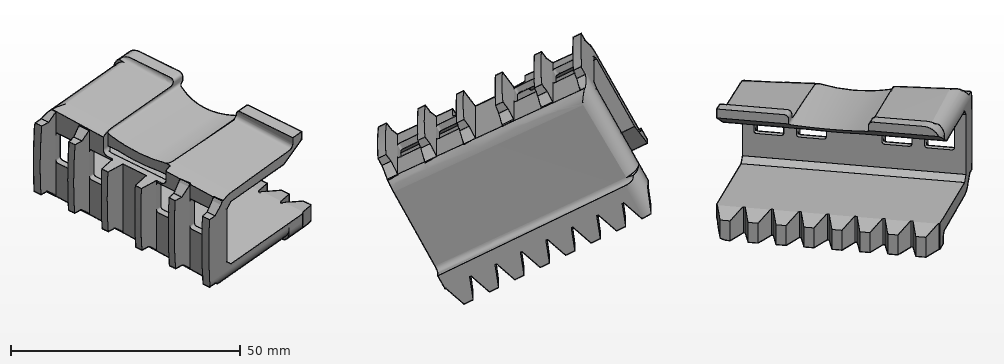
import cadquery as cq
import math


LENGTH = 50.0
DEPTH = 37.1
HEIGHT = 28.45
HALF_LENGTH = LENGTH / 2
MID_HEIGHT = HEIGHT / 2
OVERSHOOT = 2.5
OVERLAP = 0.5

WALL_FRONT = 4.6
WALL_BACK = 6.15
FLOOR = 6.15
CEILING = 22.95
CHANNEL_CHAMFER = 1.35
FOOT_BACK = 31.95

RAIL_FRONT = 28.5
RAIL_FILLET = 1.25
BEND_START = 7.7
SHALLOW_DEPTHS = (0.8, 0.65, 1.6)
DEEP_DEPTHS = (2.75, 3.1, 4.0)
ARM_CORNER_RADIUS = 4.05
ARM_CORNER_CROWN = 27.7
RAIL_CORNER_RADIUS = 3.8

LIP_BACK = 31.55
LIP_EDGE_HEIGHT = 26.35
LIP_UNDERCUT_ANGLE = 29.2

SADDLE_WIDTH = 17.8
SADDLE_BOTTOM = 25.1
SADDLE_RADIUS = 35.0
SADDLE_TILT = 1.0
SADDLE_FILLET = 0.75
LIP_END_RADIUS = 1.05
SADDLE_FRONT = 6.1
BELLY_BOTTOM = 22.55
BELLY_RADIUS = 45.0
NOTCH_FLOOR = 21.45
NOTCH_FILLET = 1.25

RIB_COUNT = 6
RIB_PITCH = 9.55
RIB_DROP = 0.55
RIB_ROOT_WIDTH = 2.9
RIB_TIP_WIDTH = 1.7
RIB_TOP = 24.8
RIB_BEVEL = 1.8
RIB_SHOULDER = 2.5
RIB_SHOULDER_STEP = 0.075
RIB_BEVEL_END_STEP = 0.1
RIB_TIP_SAG = 0.45
WINDOW_WIDTH = RIB_PITCH - RIB_ROOT_WIDTH
WINDOW_BOTTOM = 13.0
WINDOW_TOP = 21.0
WINDOW_RADIUS = 0.6
WINDOW_GAPS = (-2, -1, 1, 2)

TOOTH_COUNT = 8
TOOTH_PITCH = LENGTH / TOOTH_COUNT
TOOTH_ROOT_WIDTH = 5.85
TOOTH_TIP_WIDTH = 2.25
TOOTH_TIP_HEIGHT = 4.7
TOOTH_SLOPE_START = 32.4


def extrude_along_x(sketch_points):
    """Prism of a (Y, Z) polygon over more than the whole length."""
    return cq.Workplane("YZ").polyline(sketch_points).close().extrude(HALF_LENGTH + OVERSHOOT, both=True)


def box(x_range, y_range, z_range):
    size = [high - low for low, high in (x_range, y_range, z_range)]
    return cq.Workplane("XY").box(*size, centered=False).translate((x_range[0], y_range[0], z_range[0]))


def end_section(x, top_depths, bottom_depths):
    """Outer (Y, Z) outline of the channel, lip and foot at one end."""
    top_rail, top_bend, top_wall = (HEIGHT - depth for depth in top_depths)
    bottom_rail, bottom_bend, bottom_wall = bottom_depths
    fillet_end = RAIL_FRONT - RAIL_FILLET
    return (
        cq.Workplane("YZ", origin=(x, 0, 0))
        .moveTo(FOOT_BACK, HEIGHT + OVERSHOOT)
        .lineTo(RAIL_FRONT, HEIGHT + OVERSHOOT)
        .lineTo(RAIL_FRONT, top_rail + RAIL_FILLET)
        .radiusArc((fillet_end, top_rail), RAIL_FILLET)
        .lineTo(BEND_START, top_bend)
        .radiusArc((WALL_FRONT, top_wall), -bend_radius(top_bend, top_wall))
        .lineTo(WALL_FRONT, bottom_wall)
        .radiusArc((BEND_START, bottom_bend), -bend_radius(bottom_bend, bottom_wall))
        .lineTo(fillet_end, bottom_rail)
        .radiusArc((RAIL_FRONT, bottom_rail - RAIL_FILLET), RAIL_FILLET)
        .lineTo(RAIL_FRONT, -OVERSHOOT)
        .lineTo(FOOT_BACK, -OVERSHOOT)
        .close()
        .wire()
        .val()
    )


def bend_radius(bend_height, wall_height):
    """Radius of the bend that leaves the arm level and meets the wall face."""
    run = BEND_START - WALL_FRONT
    drop = abs(wall_height - bend_height)
    return (run**2 + drop**2) / (2 * drop)


def outer_shell():
    left = end_section(-HALF_LENGTH, SHALLOW_DEPTHS, DEEP_DEPTHS)
    right = end_section(HALF_LENGTH, DEEP_DEPTHS, SHALLOW_DEPTHS)
    return cq.Workplane(cq.Solid.makeLoft([left, right], True))


def channel():
    back = FOOT_BACK + OVERSHOOT
    return extrude_along_x([
        (back, FLOOR),
        (WALL_BACK + CHANNEL_CHAMFER, FLOOR),
        (WALL_BACK, FLOOR + CHANNEL_CHAMFER),
        (WALL_BACK, CEILING - CHANNEL_CHAMFER),
        (WALL_BACK + CHANNEL_CHAMFER, CEILING),
        (back, CEILING),
    ])


def rib_upper_end(index):
    """(Y, Z) outline of a rib's upper end, from its tip to the wall."""
    top = RIB_TOP - index * RIB_DROP
    shoulder = RIB_SHOULDER - index * RIB_SHOULDER_STEP
    bevel_end = WALL_FRONT - index * RIB_BEVEL_END_STEP
    shallow, deep = SHALLOW_DEPTHS[-1], DEEP_DEPTHS[-1]
    along = (index + 0.5) / RIB_COUNT
    wall_edge = HEIGHT - shallow - (deep - shallow) * along
    return [
        (0, top),
        (shoulder, top),
        (bevel_end, top + RIB_BEVEL),
        (WALL_FRONT, wall_edge),
        (WALL_FRONT + OVERLAP, wall_edge),
    ]


def rib(index):
    x = (index - (RIB_COUNT - 1) / 2) * RIB_PITCH
    root = WALL_FRONT + OVERLAP
    left_tip, right_tip = -RIB_TIP_WIDTH / 2, RIB_TIP_WIDTH / 2
    left_root, right_root = -RIB_ROOT_WIDTH / 2, RIB_ROOT_WIDTH / 2
    if index == 0:
        left_tip = left_root
    if index == RIB_COUNT - 1:
        right_tip = right_root
    lower_end = [(y, HEIGHT - z) for y, z in rib_upper_end(RIB_COUNT - 1 - index)]
    side = extrude_along_x(lower_end[::-1] + rib_upper_end(index))
    plan = (
        cq.Workplane("XY", origin=(x, 0, 0))
        .polyline([
            (left_root, root),
            (left_root, WALL_FRONT),
            (left_tip, 0),
            (right_tip, 0),
            (right_root, WALL_FRONT),
            (right_root, root),
        ])
        .close()
        .extrude(HEIGHT)
    )
    return side.intersect(plan)


def rib_tip_barrel():
    """Region behind the gently bowed surface that carries all rib tips."""
    half_height = RIB_TOP - MID_HEIGHT
    radius = (half_height**2 + RIB_TIP_SAG**2) / (2 * RIB_TIP_SAG)
    return (
        cq.Workplane("YZ")
        .center(radius, MID_HEIGHT)
        .circle(radius)
        .extrude(HALF_LENGTH + OVERSHOOT, both=True)
    )


def windows():
    return (
        cq.Workplane("XZ", origin=(0, 0, (WINDOW_BOTTOM + WINDOW_TOP) / 2))
        .pushPoints([(gap * RIB_PITCH, 0) for gap in WINDOW_GAPS])
        .rect(WINDOW_WIDTH, WINDOW_TOP - WINDOW_BOTTOM)
        .extrude(-WALL_BACK)
        .edges("|Y")
        .fillet(WINDOW_RADIUS)
    )


def front_notch():
    """Opening above the middle of the front wall, reaching under the saddle through the channel chamfer."""
    half = SADDLE_WIDTH / 2
    above_wall = box((-half, half), (-OVERSHOOT, SADDLE_FRONT), (NOTCH_FLOOR, HEIGHT + OVERSHOOT))
    under_saddle = box((-half, half), (0, WALL_BACK + CHANNEL_CHAMFER), (NOTCH_FLOOR, CEILING))
    return above_wall.union(under_saddle).edges("|Y and <Z").fillet(NOTCH_FILLET)


def saddle_belly():
    """Shallow bulge under the saddle."""
    cylinder = (
        cq.Workplane("XZ", origin=(0, SADDLE_FRONT, 0))
        .center(0, BELLY_BOTTOM + BELLY_RADIUS)
        .circle(BELLY_RADIUS)
        .extrude(-(LIP_BACK - SADDLE_FRONT))
    )
    half = SADDLE_WIDTH / 2
    return cylinder.intersect(box((-half, half), (0, DEPTH), (0, SADDLE_BOTTOM - OVERLAP)))


def lip_undercut():
    """Removes the sloping underside and squares the back of the lip."""
    slope = math.tan(math.radians(LIP_UNDERCUT_ANGLE))
    start_height = NOTCH_FLOOR
    start = LIP_BACK - (LIP_EDGE_HEIGHT - start_height) / slope
    return extrude_along_x([
        (start, start_height),
        (LIP_BACK, LIP_EDGE_HEIGHT),
        (LIP_BACK, HEIGHT + OVERSHOOT),
        (DEPTH, HEIGHT + OVERSHOOT),
        (DEPTH, start_height),
    ])


def saddle():
    """Dished cut across the upper arm, flaring with rounds at the lip ends."""
    half = SADDLE_WIDTH / 2
    floor_edge = SADDLE_BOTTOM + SADDLE_RADIUS - math.sqrt(SADDLE_RADIUS**2 - half**2)
    trough = (
        cq.Workplane("XZ")
        .moveTo(-half, HEIGHT)
        .lineTo(-half, floor_edge)
        .threePointArc((0, SADDLE_BOTTOM), (half, floor_edge))
        .lineTo(half, HEIGHT)
        .close()
        .extrude(-DEPTH)
        .edges("|Y")
        .edges("not >Z")
        .fillet(SADDLE_FILLET)
        .rotate((0, SADDLE_FRONT, SADDLE_BOTTOM), (1, SADDLE_FRONT, SADDLE_BOTTOM), -SADDLE_TILT)
    )
    flare = (
        cq.Workplane("XZ")
        .moveTo(-half - LIP_END_RADIUS, HEIGHT)
        .radiusArc((-half, HEIGHT - LIP_END_RADIUS), LIP_END_RADIUS)
        .lineTo(half, HEIGHT - LIP_END_RADIUS)
        .radiusArc((half + LIP_END_RADIUS, HEIGHT), LIP_END_RADIUS)
        .close()
        .extrude(-DEPTH)
    )
    return trough.union(flare)


def waste_around(former, radius, crown, y_range):
    """Material above and left of a former whose round axis lies one radius in from the left end."""
    x_axis, z_axis = radius - HALF_LENGTH, crown - radius
    block = box((-LENGTH, x_axis), y_range, (z_axis, HEIGHT + OVERSHOOT))
    return block.cut(former.translate((x_axis, 0, z_axis)))


def arm_corner_waste():
    """Waste outside the arm's rounded left edge, flaring where the rail fillet turns the corner."""
    fillet_start = RAIL_FRONT - RAIL_FILLET
    flared_radius = ARM_CORNER_RADIUS + RAIL_FILLET
    former = (
        cq.Workplane("XY")
        .moveTo(0, -OVERSHOOT)
        .lineTo(ARM_CORNER_RADIUS, -OVERSHOOT)
        .lineTo(ARM_CORNER_RADIUS, fillet_start)
        .radiusArc((flared_radius, RAIL_FRONT), -RAIL_FILLET)
        .lineTo(0, RAIL_FRONT)
        .close()
        .revolve(360, (0, 0, 0), (0, 1, 0))
    )
    return waste_around(former, ARM_CORNER_RADIUS, ARM_CORNER_CROWN, (-OVERSHOOT, RAIL_FRONT))


def rail_corner_waste():
    """Waste outside the lip's rounded left edge."""
    y_range = (RAIL_FRONT - RAIL_FILLET, DEPTH + OVERSHOOT)
    former = cq.Workplane("XZ").circle(RAIL_CORNER_RADIUS).extrude(-y_range[1])
    return waste_around(former, RAIL_CORNER_RADIUS, HEIGHT, y_range)


def tooth(index):
    x = (index - (TOOTH_COUNT - 1) / 2) * TOOTH_PITCH
    root = FOOT_BACK - OVERLAP
    plan = (
        cq.Workplane("XY", origin=(x, 0, 0))
        .polyline([
            (-TOOTH_ROOT_WIDTH / 2, root),
            (-TOOTH_ROOT_WIDTH / 2, FOOT_BACK),
            (-TOOTH_TIP_WIDTH / 2, DEPTH),
            (TOOTH_TIP_WIDTH / 2, DEPTH),
            (TOOTH_ROOT_WIDTH / 2, FOOT_BACK),
            (TOOTH_ROOT_WIDTH / 2, root),
        ])
        .close()
        .extrude(FLOOR)
    )
    side = extrude_along_x([
        (root, 0),
        (DEPTH, 0),
        (DEPTH, TOOTH_TIP_HEIGHT),
        (TOOTH_SLOPE_START, FLOOR),
        (root, FLOOR),
    ])
    return plan.intersect(side)


body = outer_shell().cut(channel()).cut(windows())

ribs = rib(0)
for number in range(1, RIB_COUNT):
    ribs = ribs.union(rib(number))
body = body.union(ribs.intersect(rib_tip_barrel()))

body = body.cut(front_notch()).union(saddle_belly()).cut(lip_undercut()).cut(saddle())

for number in range(TOOTH_COUNT):
    body = body.union(tooth(number))

body = body.intersect(box((-HALF_LENGTH, HALF_LENGTH), (0, DEPTH), (0, HEIGHT)))

for edge_waste in (arm_corner_waste(), rail_corner_waste()):
    turned = edge_waste.rotate((0, 0, MID_HEIGHT), (0, 1, MID_HEIGHT), 180)
    body = body.cut(edge_waste).cut(turned)

result = body